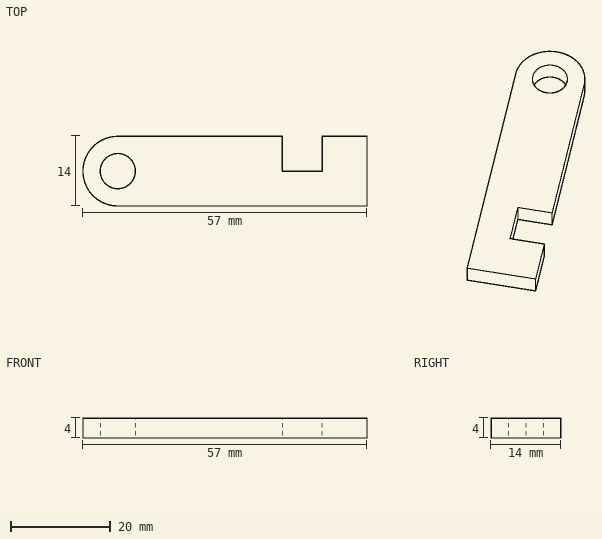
import cadquery as cq

length = 57.0
width = 14.0
thickness = 4.0
hole_diameter = 7.0
notch_width = 8.0
end_land = 9.0

end_radius = width / 2
square_end_x = length - end_radius
notch_right_x = square_end_x - end_land
notch_left_x = notch_right_x - notch_width
notch_floor_y = 0.0

bar = (
    cq.Workplane("XY")
    .moveTo(0, -end_radius)
    .lineTo(square_end_x, -end_radius)
    .lineTo(square_end_x, end_radius)
    .lineTo(notch_right_x, end_radius)
    .lineTo(notch_right_x, notch_floor_y)
    .lineTo(notch_left_x, notch_floor_y)
    .lineTo(notch_left_x, end_radius)
    .lineTo(0, end_radius)
    .threePointArc((-end_radius, 0), (0, -end_radius))
    .close()
    .extrude(thickness)
)

hole = cq.Workplane("XY").circle(hole_diameter / 2).extrude(thickness)

result = bar.cut(hole)